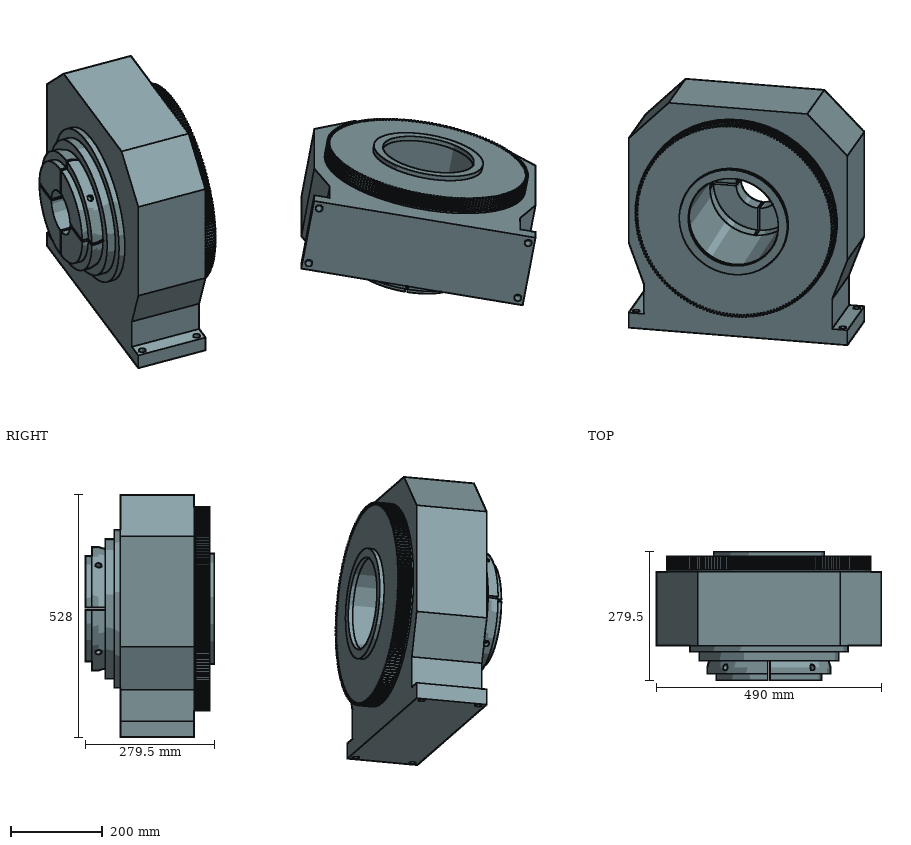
import cadquery as cq
import math


housing_width = 490.0
housing_height = 528.0
housing_depth = 160.5
axis_height = 280.0
top_chamfer = 90.0
side_bottom_height = 197.0
waist_height = 103.5
waist_inset = 34.5
foot_height = 35.0
bolt_hole_diameter = 15.0
bolt_edge_offset_x = 13.5
bolt_edge_offset_y = 15.5

hub_thickness = 10.0
gear_thickness = 30.0
ring_thickness = 4.0
cover_thickness = 13.5
flange_thickness = 19.5

cover_radius = 172.5
flange_radius = 152.5
shank_radius = 132.0
gear_seat_radius = 111.0
spindle_bore_radius = 101.0
hub_radius = 121.0
gear_tip_radius = 222.5

tooth_count = 175
tooth_height = 5.5
tip_share = 0.3
root_share = 0.3

jaw_count = 4
jaw_gap = 5.0
jaw_cone_length = 14.0
jaw_rim_length = 14.0
jaw_nose_length = 14.0
jaw_mouth_radius = 130.5
jaw_rim_radius = 134.5
jaw_nose_radius = 115.0
jaw_bore_radius = 50.0
wrench_hole_diameter = 13.0
wrench_hole_depth = 15.0

cover_front = -cover_thickness
flange_front = cover_front - flange_thickness
jaw_cone_front = flange_front - jaw_cone_length
jaw_rim_front = jaw_cone_front - jaw_rim_length
jaw_nose_front = jaw_rim_front - jaw_nose_length
ring_rear = housing_depth + ring_thickness
gear_rear = ring_rear + gear_thickness
hub_rear = gear_rear + hub_thickness

taper_slope = (jaw_rim_radius - jaw_mouth_radius) / jaw_cone_length
taper_floor_y = 0.0
taper_floor_radius = jaw_mouth_radius - taper_slope * (taper_floor_y - flange_front)


def turned(profile):
    """Revolve a closed (radius, y) profile about the spindle axis."""
    sketch = cq.Workplane("XY").polyline(profile).close()
    return sketch.revolve(360, (0, 0, 0), (0, 1, 0)).translate((0, 0, axis_height))


def washer(outer_radius, inner_radius, y_front, y_rear):
    """A flat ring on the spindle axis."""
    return turned([
        (inner_radius, y_front),
        (outer_radius, y_front),
        (outer_radius, y_rear),
        (inner_radius, y_rear),
    ])


def make_housing():
    """Chamfered block on two bolted feet, bored for the spindle shank."""
    side = housing_width / 2
    waist = side - waist_inset
    right_outline = [
        (side, 0),
        (side, foot_height),
        (waist, foot_height),
        (waist, waist_height),
        (side, side_bottom_height),
        (side, housing_height - top_chamfer),
        (side - top_chamfer, housing_height),
    ]
    left_outline = [(-x, z) for x, z in reversed(right_outline)]
    block = cq.Workplane("XZ").polyline(right_outline + left_outline).close().extrude(-housing_depth)

    bore = washer(shank_radius, 0, 0, housing_depth)
    bolt_x = side - bolt_edge_offset_x
    bolt_places = [
        (x, y)
        for x in (-bolt_x, bolt_x)
        for y in (bolt_edge_offset_y, housing_depth - bolt_edge_offset_y)
    ]
    bolt_holes = cq.Workplane("XY").pushPoints(bolt_places).circle(bolt_hole_diameter / 2).extrude(foot_height)
    return block.cut(bore).cut(bolt_holes)


def make_spindle():
    """Hollow spindle: front flange with a tapered seat, shank, and a smaller seat for the gear."""
    return turned([
        (jaw_mouth_radius, flange_front),
        (flange_radius, flange_front),
        (flange_radius, cover_front),
        (shank_radius, cover_front),
        (shank_radius, ring_rear),
        (gear_seat_radius, ring_rear),
        (gear_seat_radius, gear_rear),
        (spindle_bore_radius, gear_rear),
        (spindle_bore_radius, taper_floor_y),
        (taper_floor_radius, taper_floor_y),
    ])


def make_gear():
    """Spur gear with straight-flanked teeth."""
    pitch = 2 * math.pi / tooth_count
    root_radius = gear_tip_radius - tooth_height
    tooth_corners = [
        (root_radius, -(1 - root_share) / 2),
        (gear_tip_radius, -tip_share / 2),
        (gear_tip_radius, tip_share / 2),
        (root_radius, (1 - root_share) / 2),
    ]
    outline = []
    for tooth in range(tooth_count):
        for radius, offset in tooth_corners:
            angle = (tooth + offset) * pitch
            outline.append((radius * math.cos(angle), radius * math.sin(angle)))
    blank = cq.Workplane("XZ").polyline(outline).close().extrude(-gear_thickness)
    blank = blank.translate((0, ring_rear, axis_height))
    return blank.cut(washer(gear_seat_radius, 0, ring_rear, gear_rear))


def make_jaw(middle_angle):
    """One quarter of the split clamping collar, centred on the given angle about the axis."""
    collar = turned([
        (jaw_bore_radius, jaw_nose_front),
        (jaw_nose_radius, jaw_nose_front),
        (jaw_nose_radius, jaw_rim_front),
        (jaw_rim_radius, jaw_rim_front),
        (jaw_rim_radius, jaw_cone_front),
        (taper_floor_radius, taper_floor_y),
        (spindle_bore_radius, taper_floor_y),
        (spindle_bore_radius, flange_front),
        (jaw_bore_radius, flange_front),
    ])
    quadrant = cq.Workplane("XY").box(
        jaw_rim_radius, taper_floor_y - jaw_nose_front, jaw_rim_radius, centered=False
    ).translate((jaw_gap / 2, jaw_nose_front, axis_height + jaw_gap / 2))
    hole = cq.Workplane("XY").circle(wrench_hole_diameter / 2).extrude(wrench_hole_depth)
    hole = hole.translate((0, jaw_cone_front, jaw_rim_radius - wrench_hole_depth))
    hole = hole.rotate((0, 0, 0), (0, 1, 0), 45).translate((0, 0, axis_height))

    jaw = collar.intersect(quadrant).cut(hole)
    axis_start = (0, 0, axis_height)
    axis_end = (0, 1, axis_height)
    return jaw.rotate(axis_start, axis_end, middle_angle - 45)


housing = make_housing()
cover = washer(cover_radius, shank_radius, cover_front, 0)
spindle = make_spindle()
ring = washer(gear_tip_radius, shank_radius, housing_depth, ring_rear)
gear = make_gear()
hub = washer(hub_radius, spindle_bore_radius, gear_rear, hub_rear)
jaws = [make_jaw(45 + 360 / jaw_count * index) for index in range(jaw_count)]

result = cq.Compound.makeCompound([
    housing.solids().val(),
    cover.solids().val(),
    spindle.solids().val(),
    ring.solids().val(),
    gear.solids().val(),
    hub.solids().val(),
    *[jaw.solids().val() for jaw in jaws],
])